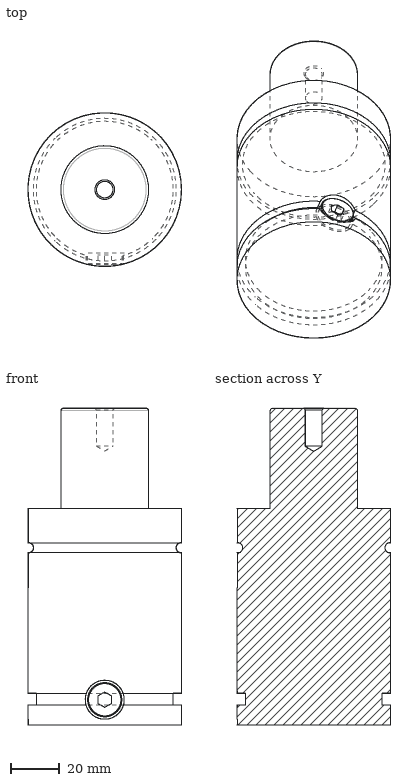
import cadquery as cq
import math

total_height = 130.0
body_radius = 63.0 / 2
rod_radius = 36.0 / 2
rod_edge_fillet = 1.0

body_height = 88.9
collar_bottom = 74.8
collar_groove_width = 4.0
collar_groove_depth = 2.2
base_groove_bottom = 8.3
base_groove_top = 13.0
base_groove_radius = 28.1

rod_hole_diameter = 6.8
rod_hole_mouth_diameter = 8.0
rod_hole_depth = 15.6
drill_point_angle = 118.0

plug_height = 10.4
plug_seat_diameter = 16.0
plug_diameter = 14.0
plug_chamfer = 0.4
plug_face_distance = 30.7
plug_seat_distance = 26.0
hex_across_flats = 5.5
hex_depth = 3.9


def make_body():
    """Turn the body and rod, with the rounded and square grooves, about Z."""
    groove_bottom = collar_bottom - collar_groove_width
    groove_middle = collar_bottom - collar_groove_width / 2
    profile = (
        cq.Workplane("XZ")
        .lineTo(body_radius, 0)
        .lineTo(body_radius, base_groove_bottom)
        .lineTo(base_groove_radius, base_groove_bottom)
        .lineTo(base_groove_radius, base_groove_top)
        .lineTo(body_radius, base_groove_top)
        .lineTo(body_radius, groove_bottom)
        .threePointArc(
            (body_radius - collar_groove_depth, groove_middle),
            (body_radius, collar_bottom),
        )
        .lineTo(body_radius, body_height)
        .lineTo(rod_radius, body_height)
        .lineTo(rod_radius, total_height)
        .lineTo(0, total_height)
        .close()
    )
    body = profile.revolve(360, (0, 0, 0), (0, 1, 0))
    return body.faces(">Z").edges().fillet(rod_edge_fillet)


def make_rod_hole():
    """Blind drilled hole with a 45 degree mouth chamfer."""
    hole_radius = rod_hole_diameter / 2
    mouth_radius = rod_hole_mouth_diameter / 2
    point_depth = hole_radius / math.tan(math.radians(drill_point_angle / 2))
    hole_bottom = total_height - rod_hole_depth
    return (
        cq.Workplane("XZ")
        .moveTo(0, total_height)
        .lineTo(mouth_radius, total_height)
        .lineTo(hole_radius, total_height - (mouth_radius - hole_radius))
        .lineTo(hole_radius, hole_bottom)
        .lineTo(0, hole_bottom - point_depth)
        .close()
        .revolve(360, (0, 0, 0), (0, 1, 0))
    )


def front_plane(distance):
    """Workplane facing -Y, at the plug axis and a given distance from the body axis."""
    return cq.Workplane("XZ", origin=(0, -distance, plug_height))


def make_plug_seat():
    return front_plane(plug_seat_distance).circle(plug_seat_diameter / 2).extrude(body_radius)


def make_plug():
    """Round plug with a chamfered rim and a hexagonal key socket."""
    plug_length = plug_face_distance - plug_seat_distance
    plug = front_plane(plug_seat_distance).circle(plug_diameter / 2).extrude(plug_length)
    plug = plug.faces("<Y").edges().chamfer(plug_chamfer)
    hex_across_corners = hex_across_flats / math.cos(math.pi / 6)
    socket = (
        front_plane(plug_face_distance)
        .transformed(rotate=(0, 0, 90))
        .polygon(6, hex_across_corners)
        .extrude(-hex_depth)
    )
    return plug.cut(socket)


result = make_body().cut(make_rod_hole()).cut(make_plug_seat()).union(make_plug())